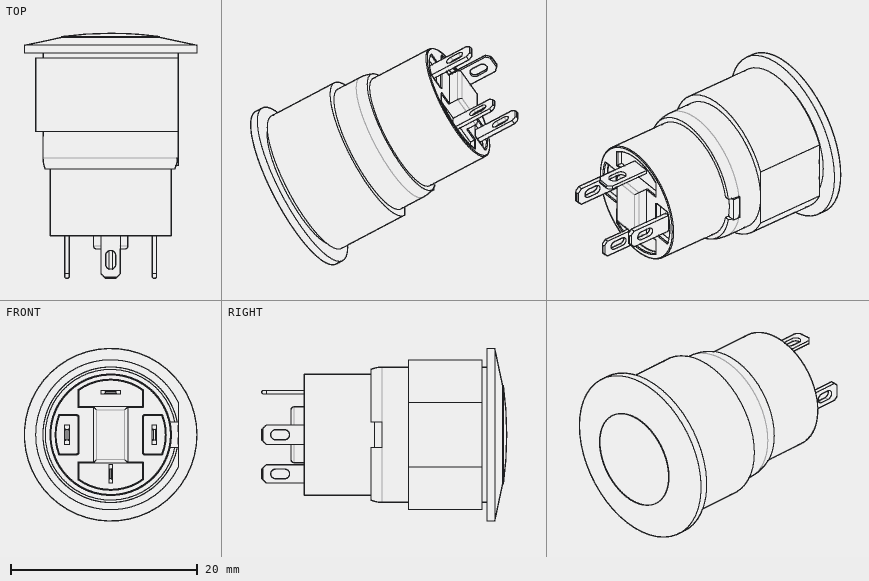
import cadquery as cq
import math


flange_diameter = 18.5
flange_rim_thickness = 0.85
flange_crown_y = 1.70
sleeve_diameter = 14.51
neck_length = 0.5
thread_diameter = 16.06
thread_length = 7.9
flat_x = sleeve_diameter / 2
sleeve_round_length = 1.23
sleeve_end_diameter = 14.0
sleeve_end_y = -12.43
sleeve_round_y = sleeve_end_y + sleeve_round_length

button_diameter = 10.5
button_edge_step = 0.08
button_edge_y = flange_crown_y + button_edge_step
button_apex_y = 2.14

barrel_diameter = 13.0
barrel_bore_diameter = 11.9
barrel_end_y = -19.6
barrel_end_chamfer = 0.1
barrel_front_y = sleeve_round_y
plate_thickness = 0.6
block_rear_y = barrel_end_y + plate_thickness

key_width = 2.75
key_recess = 0.4
key_end_y = sleeve_end_y + key_recess

window_bevel = 0.1
main_window_width = 6.8
main_window_inner_z = 3.0
side_window_height = 4.1
side_window_inner_x = 3.5
side_window_corner_radius = 0.15
window_outer_radius = barrel_bore_diameter / 2 - window_bevel

boss_width = 3.7
boss_height = 2 * main_window_inner_z
boss_projection = 1.38
boss_fillet = 0.35

terminal_projection = 4.51
terminal_end_y = barrel_end_y - terminal_projection
terminal_corner = 0.5
terminal_tip_bevel = 0.13
eye_length = 2.0
eye_setback = 1.98
eye_center_y = terminal_end_y + eye_setback
wide_terminal = 2.1
narrow_terminal = 2.0
thick_terminal = 0.5
thin_terminal = 0.4
side_terminal_x = 4.68
top_terminal_z = 4.56
bottom_terminal_z = -4.19


def cylinder(diameter, y_start, y_end):
    """Solid cylinder on the Y axis between two Y positions."""
    plane = cq.Workplane("XZ", origin=(0, y_start, 0))
    return plane.circle(diameter / 2).extrude(y_start - y_end)


def box_between(x_start, x_end, y_start, y_end, z_height):
    """Box centred on Z = 0."""
    center = ((x_start + x_end) / 2, (y_start + y_end) / 2, 0)
    return cq.Workplane("XY", origin=center).box(x_end - x_start, abs(y_end - y_start), z_height)


def make_key():
    return box_between(0, flat_x, barrel_front_y, key_end_y, key_width)


def make_housing():
    flange_and_sleeve = (
        cq.Workplane("XY")
        .moveTo(0, flange_crown_y)
        .lineTo(button_diameter / 2, flange_crown_y)
        .lineTo(flange_diameter / 2, flange_rim_thickness)
        .lineTo(flange_diameter / 2, 0)
        .lineTo(sleeve_diameter / 2, 0)
        .lineTo(sleeve_diameter / 2, sleeve_round_y)
        .tangentArcPoint((sleeve_end_diameter / 2, sleeve_end_y), relative=False)
        .lineTo(0, sleeve_end_y)
        .close()
        .revolve(360, (0, 0, 0), (0, 1, 0))
    )
    thread_end_y = -neck_length - thread_length
    thread = cylinder(thread_diameter, -neck_length, thread_end_y)
    thread = thread.intersect(
        box_between(-thread_diameter, flat_x, -neck_length, thread_end_y, thread_diameter)
    )
    button_recess = cylinder(button_diameter, flange_crown_y, 0)
    barrel_socket = cylinder(barrel_diameter, barrel_front_y, sleeve_end_y)
    key_notch = box_between(0, sleeve_diameter, barrel_front_y, sleeve_end_y, key_width)
    return flange_and_sleeve.union(thread).cut(button_recess).cut(barrel_socket).cut(key_notch)


def make_button():
    radius = button_diameter / 2
    dome_rise = button_apex_y - button_edge_y
    dome_radius = (radius**2 + dome_rise**2) / (2 * dome_rise)
    half_angle = math.asin(radius / dome_radius) / 2
    dome_middle = (
        dome_radius * math.sin(half_angle),
        button_apex_y - dome_radius * (1 - math.cos(half_angle)),
    )
    return (
        cq.Workplane("XY")
        .lineTo(radius, 0)
        .lineTo(radius, button_edge_y)
        .threePointArc(dome_middle, (0, button_apex_y))
        .close()
        .revolve(360, (0, 0, 0), (0, 1, 0))
    )


def window_outline(is_main):
    """Closed window outline on the rear face of the barrel.

    Main windows lie towards +Z and side windows towards +X.
    """
    plane = cq.Workplane("XZ", origin=(0, barrel_end_y, 0))
    if is_main:
        half = main_window_width / 2
        inner = main_window_inner_z
        outer = math.sqrt(window_outer_radius**2 - half**2)
        return (
            plane.moveTo(-half, inner)
            .lineTo(half, inner)
            .lineTo(half, outer)
            .threePointArc((0, window_outer_radius), (-half, outer))
            .close()
        )
    half = side_window_height / 2
    inner = side_window_inner_x
    outer = math.sqrt(window_outer_radius**2 - half**2)
    return (
        plane.moveTo(inner, half)
        .lineTo(inner, -half)
        .lineTo(outer, -half)
        .threePointArc((window_outer_radius, 0), (outer, half))
        .close()
    )


def make_window(is_main):
    """Cutter for one window: straight walls with a bevelled rim."""
    cutter = window_outline(is_main).extrude(-plate_thickness)
    if not is_main:
        cutter = cutter.edges("|Y and <X").fillet(side_window_corner_radius)
    rim = cutter.faces("<Y").wires().toPending().offset2D(window_bevel)
    bevel = rim.extrude(-window_bevel, taper=45)
    return cutter.union(bevel)


def make_barrel():
    barrel = cylinder(barrel_diameter, barrel_front_y, barrel_end_y)
    barrel = barrel.faces("<Y").chamfer(barrel_end_chamfer)
    barrel = barrel.union(make_key())
    barrel = barrel.cut(cylinder(barrel_bore_diameter, barrel_front_y, block_rear_y))
    for is_main in (True, False):
        window = make_window(is_main)
        for turn in (0, 180):
            barrel = barrel.cut(window.rotate((0, 0, 0), (0, 1, 0), turn))
    boss = (
        cq.Workplane("XZ", origin=(0, block_rear_y, 0))
        .rect(boss_width, boss_height)
        .extrude(plate_thickness + boss_projection)
        .faces("<Y")
        .edges()
        .fillet(boss_fillet)
    )
    return barrel.union(boss)


def make_terminal(width, thickness):
    """Terminal on the Y axis, its width along X and its thickness along Z."""
    length = block_rear_y - terminal_end_y
    blade = (
        cq.Workplane("XY", origin=(0, block_rear_y - length / 2, 0))
        .box(width, length, thickness)
        .edges("<Y and |Z")
        .chamfer(terminal_corner)
    )
    blade = blade.faces("<Y").edges("|X").chamfer(terminal_tip_bevel)
    eye = (
        cq.Workplane("XY", origin=(0, eye_center_y, -thickness))
        .slot2D(eye_length, width / 2, 90)
        .extrude(2 * thickness)
    )
    return blade.cut(eye)


def upright(terminal):
    """Turn a terminal so that its width lies along Z."""
    return terminal.rotate((0, 0, 0), (0, 1, 0), 90)


def make_terminal_block():
    block = cylinder(barrel_bore_diameter, barrel_front_y, block_rear_y)
    side_terminal = upright(make_terminal(wide_terminal, thick_terminal))
    for x in (-side_terminal_x, side_terminal_x):
        block = block.union(side_terminal.translate((x, 0, 0)))
    top_terminal = make_terminal(wide_terminal, thin_terminal)
    block = block.union(top_terminal.translate((0, 0, top_terminal_z)))
    bottom_terminal = upright(make_terminal(narrow_terminal, thin_terminal))
    return block.union(bottom_terminal.translate((0, 0, bottom_terminal_z)))


housing = make_housing()
button = make_button()
barrel = make_barrel()
terminal_block = make_terminal_block()

result = cq.Compound.makeCompound(
    [housing.val(), button.val(), barrel.val(), terminal_block.val()]
)